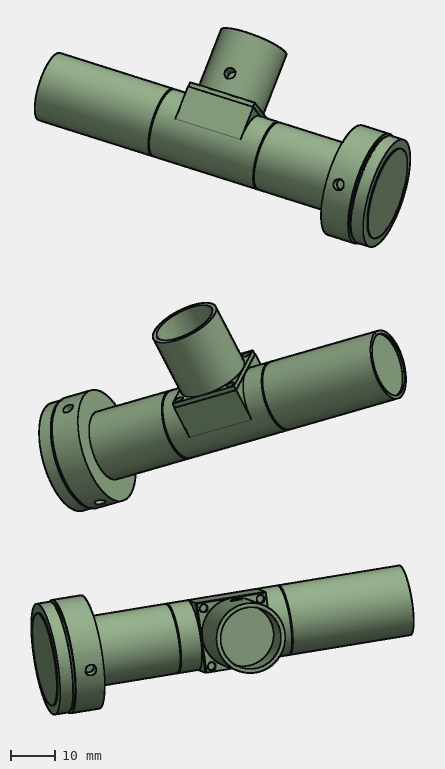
import cadquery as cq
import math

total_length = 84.1
tube_radius = 8.0
end_recess_radius = 7.2
end_recess_depth = 0.5
joint_positions = (28.3, 54.4)
joint_width = 0.25
joint_depth = 0.1

flange_start = 73.5
flange_width = 6.7
flange_diameter = 26.0
flange_radius = flange_diameter / 2
neck_width = 0.6
neck_radius = 12.2
end_step_width = 0.25
end_step_radius = 10.6
ring_radius = 12.7
ring_start = flange_start + flange_width + neck_width
ring_width = total_length - end_step_width - ring_start

set_screw_diameter = 2.5
set_screw_depth = 2.5
set_screw_count = 3
set_screw_offset = 3.0
first_set_screw_angle = 20.4

branch_tilt = 32.1
branch_center = sum(joint_positions) / 2
branch_end = 24.0
branch_diameter = 15.9
branch_bore_diameter = 14.0
branch_floor = 16.4
branch_hole_distance = 13.8
branch_hole_depth = 3.4

block_length = 16.2
block_width = 2 * tube_radius
block_top = tube_radius
plate_thickness = 1.1
plate_inset = 0.1
plate_top = block_top + plate_thickness
plate_screw_spacing = 13.3
plate_screw_diameter = 1.85


def disc(start, width, radius):
    """Cylinder coaxial with the tube, from X = start."""
    return cq.Workplane("YZ", origin=(start, 0, 0)).circle(radius).extrude(width)


def radial_hole(start, direction, diameter, depth):
    """Hole tool that sinks in against an outward direction, with some length outside."""
    outward = cq.Vector(*direction)
    overshoot = diameter / 2
    top = cq.Vector(*start) + outward * overshoot
    tool = cq.Solid.makeCylinder(diameter / 2, depth + overshoot, top, outward * -1)
    return cq.Workplane(obj=tool)


def make_tube():
    tube = disc(0, total_length, tube_radius)
    for position in joint_positions:
        start = position - joint_width / 2
        core = disc(start, joint_width, tube_radius - joint_depth)
        groove = disc(start, joint_width, tube_radius).cut(core)
        tube = tube.cut(groove)
    return tube.cut(disc(0, end_recess_depth, end_recess_radius))


def make_flange():
    flange = disc(flange_start, flange_width, flange_radius)
    flange = flange.union(disc(flange_start + flange_width, neck_width, neck_radius))
    flange = flange.union(disc(ring_start, ring_width, ring_radius))
    flange = flange.union(disc(ring_start + ring_width, end_step_width, end_step_radius))
    for index in range(set_screw_count):
        angle = math.radians(first_set_screw_angle + index * 360 / set_screw_count)
        direction = (0, math.cos(angle), math.sin(angle))
        start = (
            flange_start + set_screw_offset,
            flange_radius * direction[1],
            flange_radius * direction[2],
        )
        flange = flange.cut(radial_hole(start, direction, set_screw_diameter, set_screw_depth))
    return flange


def branch_plane(distance):
    """Plane across the branch axis, at a distance from the tube axis, before tilting."""
    return cq.Workplane("XZ", origin=(branch_center, distance, 0))


def make_branch():
    """Block, plate and side tube, built along +Y and then tilted."""
    block = branch_plane(block_top).rect(block_length, block_width).extrude(block_top)
    plate = (
        branch_plane(plate_top)
        .rect(block_length - 2 * plate_inset, block_width - 2 * plate_inset)
        .extrude(plate_thickness)
    )
    screws = (
        branch_plane(plate_top)
        .rect(plate_screw_spacing, plate_screw_spacing, forConstruction=True)
        .vertices()
        .circle(plate_screw_diameter / 2)
        .extrude(plate_thickness)
    )
    side_tube = branch_plane(branch_end).circle(branch_diameter / 2).extrude(branch_end - plate_top)
    bore = (
        branch_plane(branch_end)
        .circle(branch_bore_diameter / 2)
        .extrude(branch_end - branch_floor)
    )
    hole_start = (branch_center, branch_hole_distance, branch_diameter / 2)
    side_hole = radial_hole(hole_start, (0, 0, 1), set_screw_diameter, branch_hole_depth)
    branch = block.union(plate.cut(screws)).union(side_tube).cut(bore).cut(side_hole)
    return branch.rotate((0, 0, 0), (1, 0, 0), branch_tilt)


result = make_tube().union(make_flange()).union(make_branch())